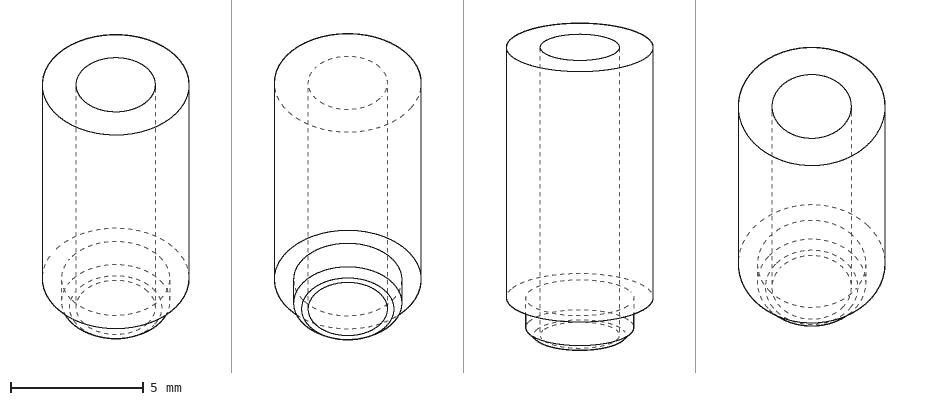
import cadquery as cq

total_length = 11.53
body_diameter = 5.56
bore_diameter = 3.0

spigot_diameter = 4.09
spigot_length = 1.5
spigot_chamfer = 0.3


def spigot():
    """Reduced lower end, standing on Z = 0, with a chamfered lower rim."""
    return (
        cq.Workplane("XY")
        .circle(spigot_diameter / 2)
        .extrude(spigot_length)
        .faces("<Z")
        .chamfer(spigot_chamfer)
    )


def body():
    """Main cylinder above the spigot."""
    return (
        cq.Workplane("XY", origin=(0, 0, spigot_length))
        .circle(body_diameter / 2)
        .extrude(total_length - spigot_length)
    )


def bore():
    """Straight hole through the full length."""
    return cq.Workplane("XY").circle(bore_diameter / 2).extrude(total_length)


result = spigot().union(body()).cut(bore())